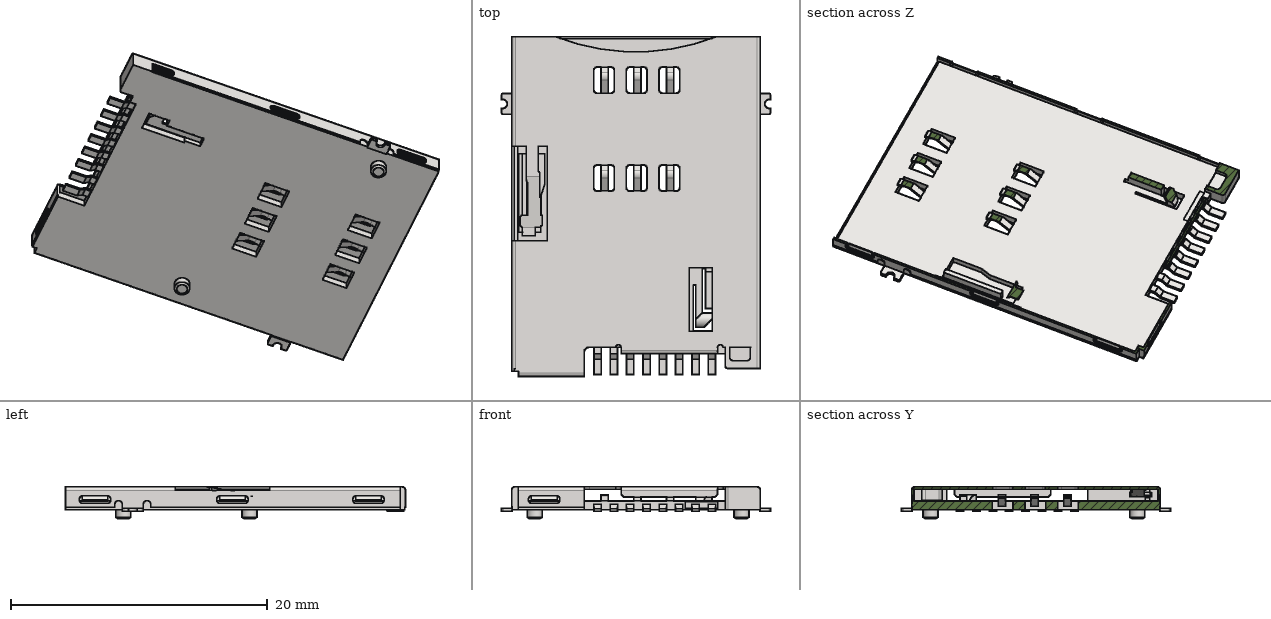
import cadquery as cq

COVER_WIDTH = 19.4
BACK_Y = 13.25
FRONT_Y = -13.25
COVER_TOP = 1.8
SHEET = 0.2
BEND_RADIUS = 0.3
WALL_BOTTOM = 0.2
HALF_WIDTH = COVER_WIDTH / 2
PLATE_BOTTOM = COVER_TOP - SHEET
SIDE_WALL_FRONT_Y = -12.83
FRONT_WALL_LEFT = -9.17
CORNER_FLAP_RIGHT = -8.85
FRONT_WALL_RIGHT = -4.03
PLATE_FRONT_Y = -10.97
PLATE_CORNER_RADIUS = 0.37
FINGER_HALF_WIDTH = 6.28
FINGER_DEPTH = 1.2

LIP_LEFT = -1.17
LIP_RIGHT = 6.35
LIP_FRONT_Y = -11.47
LIP_BOTTOM = 0.98
LIP_CHAMFER = 0.2
LIP_RELIEF_RADIUS = 0.2

BASE_INSET = 0.05
BASE_TOP = 0.7
BASE_FRONT_Y = PLATE_FRONT_Y
BASE_EDGE_CHAMFER = 0.19
FLOOR = 0.15

BLOCK_LEFT = 6.95
BLOCK_FRONT_Y = -12.61
BLOCK_EDGE_RADIUS = 0.2
BLOCK_POCKET_LEFT = 7.31
BLOCK_POCKET_RIGHT = 8.9
BLOCK_POCKET_FRONT_Y = -12.0
BLOCK_POCKET_DEPTH = 1.05

CONTACT_PITCH = 2.55
CONTACT_CENTER_X = 0.1
CONTACT_WIDTH = 0.58
CONTACT_SHEET = 0.15
CONTACT_TOP = 1.17
WINDOW_CENTER_X = 0.05
WINDOW_WIDTH = 1.6
WINDOW_LENGTH = 2.01
WINDOW_RADIUS = 0.26
WINDOW_ROWS_Y = (9.85, 2.23)

TERMINAL_COUNT = 8
TERMINAL_PITCH = 1.27
FIRST_TERMINAL_X = -3.0
TERMINAL_WIDTH = 0.58
TERMINAL_SHEET = 0.2
TERMINAL_TIP_Y = -13.1
TERMINAL_BEND_Y = -11.45
TERMINAL_FOOT_Y = -11.9
TERMINAL_ROOT_Y = -10.07
TERMINAL_TOP = 0.42
FOOT_BOTTOM = -0.13

TAB_TIP_X = 10.48
TAB_CENTER_Y = 8.0
TAB_LENGTH = 1.65
TAB_THICKNESS = 0.26
TAB_CORNER_RADIUS = 0.13
TAB_NOTCH_DIAMETER = 0.7
TAB_NOTCH_X = 10.4
RELIEF_WIDTH = 0.58
RELIEF_TOP = 0.72
PEG_DIAMETER = 1.2
PEG_LENGTH = 0.7
PEG_CHAMFER_HEIGHT = 0.19
PEG_CHAMFER = 0.1
PEG_CENTERS = ((-7.9, -1.09), (8.22, 8.75))

GROOVE_LENGTH = 2.46
GROOVE_HEIGHT = 0.6
GROOVE_DEPTH = 0.13
RIDGE_LENGTH = 2.01
GROOVE_Z = 0.8
SIDE_GROOVES_Y = (10.95, 0.25, -10.35)
FRONT_GROOVE_X = -7.15

LOCK_INNER_X = -6.92
LOCK_OUTER_X = -9.22
LOCK_BACK_Y = 4.7
LOCK_FRONT_Y = -2.65
LOCK_WALL_TOP = 1.5
LOCK_POCKET = [(-9.15, 4.1), (-7.13, 4.1), (-7.13, 1.7), (-7.42, 0.8), (-7.42, -2.0), (-9.15, -2.0)]
LOCK_SPRING = (-8.88, -8.5, -0.8, 4.1)
LOCK_SPRING_TOP = 0.95
TONGUE_BEND_Y = 2.38
TONGUE_FOOT_Y = -1.6
TONGUE_FOOT_DROP = 0.58

SWITCH_WINDOW = (4.15, 5.94, -9.7, -4.77)
SWITCH_SLIT = (4.48, 4.65, -9.67, -6.12)
SWITCH_GAP = (4.65, 5.4, -9.67, -4.82)
SWITCH_REAR_GAP = (5.4, 5.94, -9.67, -7.95)
SWITCH_BAR = (5.4, 5.94, -7.95, -5.1)
SWITCH_BAR_TOP = 1.05
SWITCH_SHEET = 0.19
SWITCH_HOOK_PLAN = [
    (4.65, -8.8), (5.17, -8.27), (5.94, -8.27), (5.94, -8.75), (5.3, -9.4), (4.65, -9.4),
]
SWITCH_ARM_RIGHT = 5.17
TERMINAL_RECESS = (3.85, 6.85, BASE_FRONT_Y, BASE_FRONT_Y + 0.4)
TERMINAL_RECESS_BOTTOM = 0.1
TERMINAL_RECESS_TOP = 0.6


def block(left, right, front, back, bottom, top):
    """Box given by its limits along X, Y and Z."""
    size = (right - left, back - front, top - bottom)
    return cq.Workplane("XY").box(*size, centered=False).translate((left, front, bottom))


def side_strip(points, left, right):
    """Solid with the (Y, Z) outline `points`, running from `left` to `right` along X."""
    return cq.Workplane("YZ").polyline(points).close().extrude(right - left).translate((left, 0, 0))


def contact_positions():
    """X offset and row Y of each card contact."""
    for row_y in WINDOW_ROWS_Y:
        for column in (-1, 0, 1):
            yield column * CONTACT_PITCH, row_y


def make_window(bottom, top):
    """Square-cornered contact window centred on the origin."""
    half_width = WINDOW_WIDTH / 2
    half_length = WINDOW_LENGTH / 2
    return block(-half_width, half_width, -half_length, half_length, bottom, top)


def make_base():
    half = HALF_WIDTH - BASE_INSET
    base = block(-half, half, BASE_FRONT_Y, BACK_Y, 0, BASE_TOP)
    base = base.edges(">Y and >Z").chamfer(BASE_EDGE_CHAMFER)
    base = base.union(block(-half, FRONT_WALL_RIGHT, SIDE_WALL_FRONT_Y, BASE_FRONT_Y, 0, BASE_TOP))
    toe = block(FRONT_WALL_LEFT, FRONT_WALL_RIGHT, FRONT_Y + BASE_INSET, SIDE_WALL_FRONT_Y, 0, BASE_TOP)
    base = base.union(toe)
    base = base.union(block(LIP_RIGHT, BLOCK_LEFT, LIP_FRONT_Y, BASE_FRONT_Y, 0, BASE_TOP))
    for offset_x, row_y in contact_positions():
        base = base.cut(make_window(0, BASE_TOP).translate((WINDOW_CENTER_X + offset_x, row_y, 0)))
    pocket = cq.Workplane("XY").workplane(offset=FLOOR).polyline(LOCK_POCKET).close().extrude(BASE_TOP)
    base = base.cut(pocket)
    base = base.cut(block(SHEET - HALF_WIDTH, LOCK_OUTER_X, LOCK_FRONT_Y, LOCK_BACK_Y, FLOOR, BASE_TOP))
    for gap in (SWITCH_SLIT, SWITCH_GAP, SWITCH_REAR_GAP):
        base = base.cut(block(*gap, 0, BASE_TOP))
    return base.cut(block(*TERMINAL_RECESS, TERMINAL_RECESS_BOTTOM, TERMINAL_RECESS_TOP))


def make_corner_block():
    body = block(BLOCK_LEFT, HALF_WIDTH, BLOCK_FRONT_Y, PLATE_FRONT_Y, 0, COVER_TOP)
    body = body.edges("|Y and >X and >Z").fillet(BEND_RADIUS)
    body = body.edges("|Z and <X and <Y").fillet(BLOCK_EDGE_RADIUS)
    pocket = block(
        BLOCK_POCKET_LEFT, BLOCK_POCKET_RIGHT, BLOCK_POCKET_FRONT_Y, PLATE_FRONT_Y,
        COVER_TOP - BLOCK_POCKET_DEPTH, COVER_TOP,
    )
    return body.cut(pocket.edges("|Z and <Y").fillet(WINDOW_RADIUS))


def make_folded_cover():
    """Top plate with both side walls, the short front wall and the bent lip."""
    channel = block(-HALF_WIDTH, HALF_WIDTH, SIDE_WALL_FRONT_Y, BACK_Y, WALL_BOTTOM, COVER_TOP)
    channel = channel.edges("|Y and >Z").fillet(BEND_RADIUS)
    inner = HALF_WIDTH - SHEET
    channel = channel.cut(block(-inner, inner, FRONT_Y, BACK_Y, WALL_BOTTOM, PLATE_BOTTOM))
    channel = channel.cut(block(FRONT_WALL_RIGHT, HALF_WIDTH, FRONT_Y, PLATE_FRONT_Y, 0, COVER_TOP))
    front = block(FRONT_WALL_LEFT, FRONT_WALL_RIGHT, FRONT_Y, PLATE_FRONT_Y, WALL_BOTTOM, COVER_TOP)
    front = front.edges("<Y and >Z").fillet(BEND_RADIUS)
    front_inner_y = FRONT_Y + SHEET
    front = front.cut(
        block(FRONT_WALL_LEFT, FRONT_WALL_RIGHT, front_inner_y, PLATE_FRONT_Y, WALL_BOTTOM, PLATE_BOTTOM)
    )
    lip = block(LIP_LEFT, LIP_RIGHT, LIP_FRONT_Y, PLATE_FRONT_Y, LIP_BOTTOM, COVER_TOP)
    lip = lip.edges("<Y and >Z").fillet(BEND_RADIUS)
    lip = lip.edges("|Y and <Z").chamfer(LIP_CHAMFER)
    lip = lip.cut(block(LIP_LEFT, LIP_RIGHT, LIP_FRONT_Y + SHEET, PLATE_FRONT_Y, 0, PLATE_BOTTOM))
    return channel.union(front).union(lip).union(make_corner_flap()).union(make_plate_corner())


def make_corner_flap():
    """Closing flap between the left side wall and the front wall."""
    flap_back_y = SIDE_WALL_FRONT_Y + SHEET
    flap = block(
        SHEET - HALF_WIDTH, CORNER_FLAP_RIGHT, SIDE_WALL_FRONT_Y, flap_back_y, WALL_BOTTOM, COVER_TOP
    )
    flap_end = block(
        FRONT_WALL_LEFT, CORNER_FLAP_RIGHT, FRONT_Y + SHEET, SIDE_WALL_FRONT_Y, WALL_BOTTOM, PLATE_BOTTOM
    )
    return flap.union(flap_end)


def make_plate_corner():
    """Rounded inside corner where the plate edge meets the front wall section."""
    right = FRONT_WALL_RIGHT + PLATE_CORNER_RADIUS
    front = PLATE_FRONT_Y - PLATE_CORNER_RADIUS
    corner = block(FRONT_WALL_RIGHT, right, front, PLATE_FRONT_Y, PLATE_BOTTOM, COVER_TOP)
    hollow = cq.Workplane("XY").circle(PLATE_CORNER_RADIUS).extrude(COVER_TOP)
    return corner.cut(hollow.translate((right, front, 0)))


def make_finger_recess():
    return (
        cq.Workplane("XY")
        .workplane(offset=PLATE_BOTTOM)
        .moveTo(-FINGER_HALF_WIDTH, BACK_Y)
        .threePointArc((0, BACK_Y - FINGER_DEPTH), (FINGER_HALF_WIDTH, BACK_Y))
        .close()
        .extrude(SHEET)
    )


def make_groove():
    """Round-ended groove along X around a pressed ridge; Y = 0 is the wall face."""
    groove = cq.Workplane("XZ").slot2D(GROOVE_LENGTH, GROOVE_HEIGHT).extrude(GROOVE_DEPTH, both=True)
    half_height = GROOVE_HEIGHT / 2
    ridge_outline = [(GROOVE_DEPTH, -half_height), (0, 0), (GROOVE_DEPTH, half_height)]
    return groove.cut(side_strip(ridge_outline, -RIDGE_LENGTH / 2, RIDGE_LENGTH / 2))


def make_cover():
    cover = make_folded_cover().cut(make_finger_recess())
    for offset_x, row_y in contact_positions():
        window = make_window(PLATE_BOTTOM, COVER_TOP).edges("|Z").fillet(WINDOW_RADIUS)
        cover = cover.cut(window.translate((WINDOW_CENTER_X + offset_x, row_y, 0)))
    cover = cover.cut(block(*SWITCH_WINDOW, PLATE_BOTTOM, COVER_TOP))
    for relief_x in (LIP_LEFT - LIP_RELIEF_RADIUS, LIP_RIGHT + LIP_RELIEF_RADIUS):
        relief = cq.Workplane("XY").circle(LIP_RELIEF_RADIUS).extrude(COVER_TOP)
        cover = cover.cut(relief.translate((relief_x, PLATE_FRONT_Y, 0)))
    lock_opening = block(LOCK_OUTER_X, LOCK_INNER_X, LOCK_FRONT_Y, LOCK_BACK_Y, PLATE_BOTTOM, COVER_TOP)
    cover = cover.cut(lock_opening)
    cover = cover.cut(block(-HALF_WIDTH, LOCK_OUTER_X, LOCK_FRONT_Y, LOCK_BACK_Y, LOCK_WALL_TOP, COVER_TOP))
    for groove_y in SIDE_GROOVES_Y:
        for side in (-1, 1):
            groove = make_groove().rotate((0, 0, 0), (0, 0, 1), side * 90)
            cover = cover.cut(groove.translate((side * HALF_WIDTH, groove_y, GROOVE_Z)))
    return cover.cut(make_groove().translate((FRONT_GROOVE_X, FRONT_Y, GROOVE_Z)))


def make_tab_reliefs():
    """Round-topped slots in both side walls next to the mounting tabs."""
    reliefs = cq.Workplane("YZ")
    arch_z = RELIEF_TOP - RELIEF_WIDTH / 2
    for side in (-1, 1):
        center_y = TAB_CENTER_Y + side * (TAB_LENGTH + RELIEF_WIDTH) / 2
        slot = (
            cq.Workplane("YZ")
            .moveTo(center_y - RELIEF_WIDTH / 2, WALL_BOTTOM)
            .lineTo(center_y - RELIEF_WIDTH / 2, arch_z)
            .threePointArc((center_y, RELIEF_TOP), (center_y + RELIEF_WIDTH / 2, arch_z))
            .lineTo(center_y + RELIEF_WIDTH / 2, WALL_BOTTOM)
            .close()
            .extrude(HALF_WIDTH, both=True)
        )
        reliefs = reliefs.add(slot)
    inner = HALF_WIDTH - BASE_INSET
    core = block(-inner, inner, FRONT_Y, BACK_Y, 0, COVER_TOP)
    return reliefs.combine().cut(core)


def make_tab():
    """Solder tab on the +X side with a round notch in its tip."""
    low_y = TAB_CENTER_Y - TAB_LENGTH / 2
    high_y = TAB_CENTER_Y + TAB_LENGTH / 2
    tab_top = FOOT_BOTTOM + TAB_THICKNESS
    tab = block(HALF_WIDTH - BASE_INSET, TAB_TIP_X, low_y, high_y, FOOT_BOTTOM, tab_top)
    tab = tab.edges("|Z and >X").fillet(TAB_CORNER_RADIUS)
    web = block(HALF_WIDTH - SHEET, HALF_WIDTH, low_y, high_y, 0, RELIEF_TOP)
    notch = cq.Workplane("XY").circle(TAB_NOTCH_DIAMETER / 2).extrude(TAB_THICKNESS)
    return tab.union(web).cut(notch.translate((TAB_NOTCH_X, TAB_CENTER_Y, FOOT_BOTTOM)))


def make_contact():
    """Spring arm rising from the front edge of a window at the origin."""
    root_y, root_z = -WINDOW_LENGTH / 2 - 0.26, 0.26
    rise_y, rise_z = 0.03, CONTACT_TOP - 0.08
    crest_y = 0.32
    fall_y = 0.6
    tip_y, tip_z = WINDOW_LENGTH / 2 + 0.1, 0.95
    return (
        cq.Workplane("YZ")
        .moveTo(root_y, root_z)
        .lineTo(rise_y, rise_z)
        .threePointArc((crest_y, CONTACT_TOP), (fall_y, rise_z))
        .lineTo(tip_y, tip_z)
        .lineTo(tip_y, tip_z - CONTACT_SHEET)
        .lineTo(fall_y, rise_z - CONTACT_SHEET)
        .threePointArc((crest_y, CONTACT_TOP - CONTACT_SHEET), (rise_y, rise_z - CONTACT_SHEET))
        .lineTo(root_y, root_z - CONTACT_SHEET)
        .close()
        .extrude(CONTACT_WIDTH / 2, both=True)
    )


def make_terminal():
    """Gull-wing solder terminal centred on X = 0."""
    foot_top = FOOT_BOTTOM + TERMINAL_SHEET
    shoulder_bottom = TERMINAL_TOP - TERMINAL_SHEET
    outline = [
        (TERMINAL_ROOT_Y, TERMINAL_TOP),
        (TERMINAL_BEND_Y, TERMINAL_TOP),
        (TERMINAL_FOOT_Y, foot_top),
        (TERMINAL_TIP_Y, foot_top),
        (TERMINAL_TIP_Y, FOOT_BOTTOM),
        (TERMINAL_FOOT_Y, FOOT_BOTTOM),
        (TERMINAL_BEND_Y, shoulder_bottom),
        (TERMINAL_ROOT_Y, shoulder_bottom),
    ]
    return side_strip(outline, -TERMINAL_WIDTH / 2, TERMINAL_WIDTH / 2)


def make_lock_spring():
    """Tongue left standing in the lock opening, bent down towards the front, and the spring beside it."""
    root_y = LOCK_BACK_Y + SHEET
    plan = [
        (-8.55, root_y), (-8.55, 2.05), (-8.45, 1.85), (-8.45, -0.65),
        (-8.9, -0.65), (-9.04, -0.8), (-9.04, -1.45), (-8.9, TONGUE_FOOT_Y),
        (-8.85, TONGUE_FOOT_Y), (-8.85, -2.28), (-7.85, -2.28), (-7.85, TONGUE_FOOT_Y),
        (-7.45, TONGUE_FOOT_Y), (-7.31, -1.45), (-7.31, -0.65), (-7.4, -0.65),
        (-7.4, 0.75), (-7.5, 0.75), (-7.5, 2.65), (-7.6, 2.75), (-7.6, root_y),
    ]
    foot_top = COVER_TOP - TONGUE_FOOT_DROP
    side = [
        (root_y, COVER_TOP), (TONGUE_BEND_Y, COVER_TOP), (TONGUE_FOOT_Y, foot_top),
        (LOCK_FRONT_Y, foot_top), (LOCK_FRONT_Y, foot_top - SHEET), (TONGUE_FOOT_Y, foot_top - SHEET),
        (TONGUE_BEND_Y, PLATE_BOTTOM), (root_y, PLATE_BOTTOM),
    ]
    outline = cq.Workplane("XY").polyline(plan).close().extrude(COVER_TOP)
    tongue = outline.intersect(side_strip(side, LOCK_OUTER_X, LOCK_INNER_X))
    return tongue.union(block(*LOCK_SPRING, 0, LOCK_SPRING_TOP))


def make_switch():
    """Detection switch arm with a curled hook at its front end and the bar beside it."""
    arm_bottom = BASE_TOP - SWITCH_SHEET
    arm = block(SWITCH_SLIT[1], SWITCH_ARM_RIGHT, -8.8, SWITCH_GAP[3] + 0.26, arm_bottom, BASE_TOP)
    hump = (
        cq.Workplane("YZ")
        .moveTo(-8.27, arm_bottom)
        .threePointArc((-8.75, CONTACT_TOP), (-9.4, arm_bottom))
        .close()
        .extrude(SWITCH_WINDOW[1])
    )
    plan = cq.Workplane("XY").polyline(SWITCH_HOOK_PLAN).close().extrude(COVER_TOP)
    bar = block(*SWITCH_BAR, FLOOR, SWITCH_BAR_TOP)
    return arm.union(hump.intersect(plan)).union(bar)


def make_peg():
    return (
        cq.Workplane("XY")
        .circle(PEG_DIAMETER / 2)
        .extrude(-PEG_LENGTH)
        .faces("<Z")
        .chamfer(PEG_CHAMFER, PEG_CHAMFER_HEIGHT)
    )


result = make_base().union(make_corner_block()).union(make_cover()).cut(make_tab_reliefs())
result = result.union(make_tab()).union(make_tab().mirror("YZ"))
result = result.union(make_lock_spring()).union(make_switch())
for contact_x, contact_y in contact_positions():
    result = result.union(make_contact().translate((CONTACT_CENTER_X + contact_x, contact_y, 0)))
for index in range(TERMINAL_COUNT):
    result = result.union(make_terminal().translate((FIRST_TERMINAL_X + index * TERMINAL_PITCH, 0, 0)))
for peg_x, peg_y in PEG_CENTERS:
    result = result.union(make_peg().translate((peg_x, peg_y, 0)))